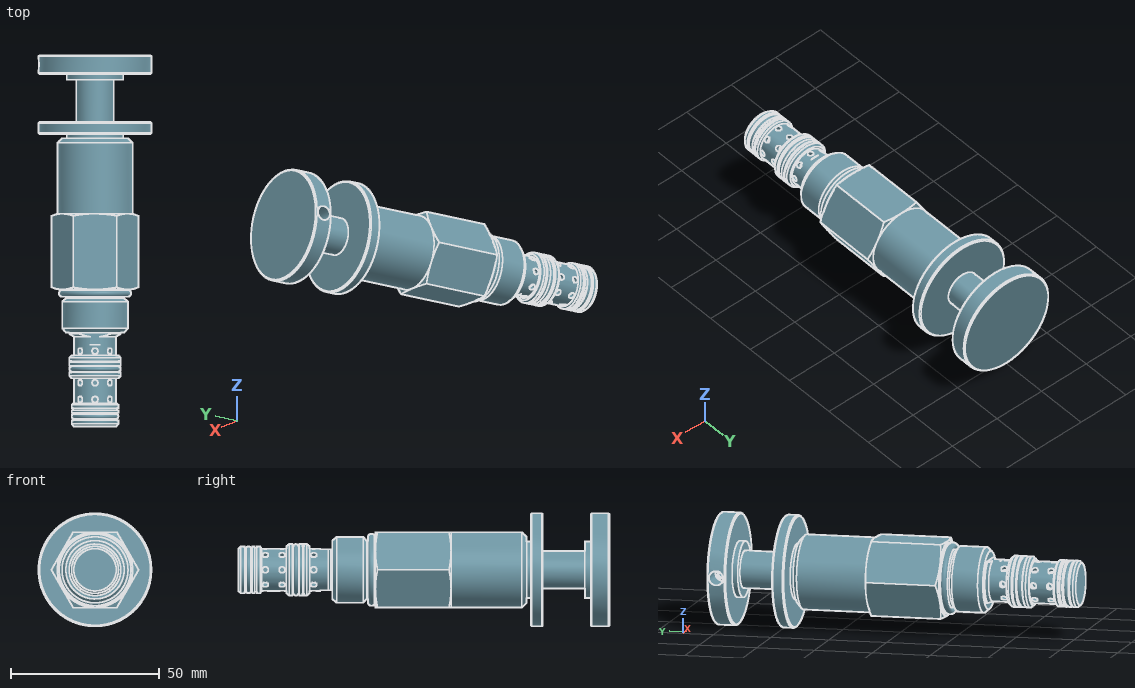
import cadquery as cq
import math


TOTAL_LENGTH = 124.83
NOSE_LENGTH = 46.1
KNOB_BACK = TOTAL_LENGTH - NOSE_LENGTH
NOSE_TIP = -NOSE_LENGTH

DISK_DIAMETER = 38.1
DISK_CHAMFER = 0.4
KNOB_THICKNESS = 6.4
KNOB_FRONT = KNOB_BACK - KNOB_THICKNESS
HUB_DIAMETER = 19.05
HUB_LENGTH = 1.95
ROD_DIAMETER = 12.7
NUT_FRONT = 52.2
NUT_THICKNESS = 4.1

SCREW_HOLE_DIAMETER = 4.83
SCREW_POINT_DIAMETER = 3.17
SCREW_CUP_DIAMETER = 2.2
SCREW_HOLE_DEPTH = 9.0
SCREW_POINT_LENGTH = (SCREW_HOLE_DIAMETER - SCREW_POINT_DIAMETER) / 2

BODY_DIAMETER = 25.4
BODY_BACK = 50.8
BODY_CHAMFER = 1.57
HEX_LENGTH = 25.4
HEX_ACROSS_FLATS = 25.4
HEX_ACROSS_CORNERS = HEX_ACROSS_FLATS / math.cos(math.radians(30))
HEX_BEVEL_LENGTH = 0.7
SEAT_DIAMETER = 24.0
SEAT_END = -0.35

THREAD_DIAMETER = 22.225
THREAD_START = -3.0
THREAD_END = -14.55
THREAD_ROOT_DIAMETER = 19.63
THREAD_LEAD_IN = 1.1
THREAD_LEAD_OUT = 1.5

COLLAR_DIAMETER = 17.37
COLLAR_TAPER_START = -15.0
COLLAR_TAPER_END = -15.9
FLAT_HALF_HEIGHT = 6.95
FLAT_END = -18.6

SLEEVE_DIAMETER = 14.28
UPPER_LAND_EDGES = (16.15, 17.05, 18.2, 20.4, 21.6, 22.0, 23.05, 23.95)
LOWER_LAND_EDGES = (0, 0.9, 2.1, 4.6, 5.5, 6.2, 7.3, 7.85)
UPPER_SEAL_STATION = 19.35
LOWER_SEAL_STATION = 3.4
UPPER_LAND_DIAMETER = 17.37
UPPER_LAND_CHAMFERED_DIAMETER = 15.8
LOWER_LAND_DIAMETER = 15.8
LOWER_LAND_CHAMFERED_DIAMETER = 14.28
UPPER_GROOVE_DIAMETER = 15.8
LOWER_GROOVE_DIAMETER = 14.88
PORT_DIAMETER = 2.02
PORT_COUNT = 8
PORT_FLOOR_DIAMETER = 10.19
PORT_STATIONS = (25.35, 14.7, 9.1)

SHOULDER_SEAL_DIAMETER = 24.3
SHOULDER_SEAL_SECTION = 2.4
SHOULDER_SEAL_Y = -1.35
LAND_SEAL_SECTION = 1.78


def cylinder(diameter, y_start, y_end):
    """Solid cylinder on the Y axis."""
    return cone(diameter, diameter, y_start, y_end)


def cone(start_diameter, end_diameter, y_start, y_end):
    """Solid cylinder or frustum on the Y axis."""
    outline = [
        (0, y_start),
        (start_diameter / 2, y_start),
        (end_diameter / 2, y_end),
        (0, y_end),
    ]
    return cq.Workplane("XY").polyline(outline).close().revolve(360, (0, 0, 0), (0, 1, 0))


def seal_ring(outer_diameter, section, y):
    """Round-section seal ring centred on the Y axis, its seam on the hidden inner side."""
    centre_radius = (outer_diameter - section) / 2
    plane = cq.Plane(origin=(centre_radius, y, 0), xDir=(-1, 0, 0), normal=(0, 0, 1))
    ring = cq.Workplane(plane).circle(section / 2)
    return ring.revolve(360, (centre_radius, 0, 0), (centre_radius, 1, 0))


def disk(y_front, thickness):
    """Rim disk with both edges chamfered."""
    return cylinder(DISK_DIAMETER, y_front, y_front + thickness).edges().chamfer(DISK_CHAMFER)


def make_handle():
    """Knob, its hub, the rod and the lock nut."""
    handle = disk(KNOB_FRONT, KNOB_THICKNESS)
    handle = handle.union(cylinder(HUB_DIAMETER, KNOB_FRONT - HUB_LENGTH, KNOB_FRONT))
    handle = handle.union(cylinder(ROD_DIAMETER, BODY_BACK, KNOB_FRONT))
    handle = handle.union(disk(NUT_FRONT, NUT_THICKNESS))
    return handle.union(cylinder(HUB_DIAMETER, BODY_BACK, NUT_FRONT))


def make_screw_hole():
    """Radial hole on the -X side of the knob, around a chamfered cup point."""
    hole_radius = SCREW_HOLE_DIAMETER / 2
    cup_radius = SCREW_CUP_DIAMETER / 2
    mouth_x = -DISK_DIAMETER / 2
    floor_x = mouth_x + SCREW_HOLE_DEPTH
    point_x = floor_x - SCREW_POINT_LENGTH
    outline = [
        (mouth_x, 0),
        (mouth_x, hole_radius),
        (floor_x, hole_radius),
        (point_x, SCREW_POINT_DIAMETER / 2),
        (point_x, cup_radius),
        (point_x + cup_radius, 0),
    ]
    hole = cq.Workplane("XY").polyline(outline).close().revolve(360, (0, 0, 0), (1, 0, 0))
    return hole.translate((0, KNOB_FRONT + KNOB_THICKNESS / 2, 0))


def make_body():
    """Barrel with a chamfered back edge."""
    body = cylinder(BODY_DIAMETER, HEX_LENGTH, BODY_BACK)
    return body.faces(">Y").edges().chamfer(BODY_CHAMFER)


def make_hex():
    """Hex with its flats on +Z and -Z and its corners bevelled at both ends."""
    prism = cq.Workplane("XZ").polygon(6, HEX_ACROSS_CORNERS).extrude(-HEX_LENGTH)
    bevel_start = HEX_LENGTH - HEX_BEVEL_LENGTH
    envelope = cone(HEX_ACROSS_FLATS, HEX_ACROSS_CORNERS, 0, HEX_BEVEL_LENGTH)
    envelope = envelope.union(cylinder(HEX_ACROSS_CORNERS, HEX_BEVEL_LENGTH, bevel_start))
    envelope = envelope.union(cone(HEX_ACROSS_CORNERS, HEX_ACROSS_FLATS, bevel_start, HEX_LENGTH))
    return prism.intersect(envelope)


def make_thread():
    """Seat, undercut, seal ring and plain threaded section below the hex shoulder."""
    lead_in_end = THREAD_START - THREAD_LEAD_IN
    lead_out_start = THREAD_END + THREAD_LEAD_OUT
    thread = cylinder(THREAD_ROOT_DIAMETER, THREAD_START, 0)
    thread = thread.union(cylinder(SEAT_DIAMETER, SEAT_END, 0))
    thread = thread.union(cone(THREAD_DIAMETER, THREAD_ROOT_DIAMETER, lead_in_end, THREAD_START))
    thread = thread.union(cylinder(THREAD_DIAMETER, lead_out_start, lead_in_end))
    thread = thread.union(cone(THREAD_ROOT_DIAMETER, THREAD_DIAMETER, THREAD_END, lead_out_start))
    return thread.union(seal_ring(SHOULDER_SEAL_DIAMETER, SHOULDER_SEAL_SECTION, SHOULDER_SEAL_Y))


def make_sleeve():
    """Sleeve and tapered collar, with a flat milled on +Z and on -Z."""
    sleeve = cylinder(SLEEVE_DIAMETER, NOSE_TIP + LOWER_LAND_EDGES[-2], THREAD_END)
    sleeve = sleeve.union(cylinder(COLLAR_DIAMETER, COLLAR_TAPER_START, THREAD_END))
    sleeve = sleeve.union(cone(SLEEVE_DIAMETER, COLLAR_DIAMETER, COLLAR_TAPER_END, COLLAR_TAPER_START))
    flat_length = THREAD_END - FLAT_END
    cutter = cq.Workplane("XY").box(COLLAR_DIAMETER, flat_length, COLLAR_DIAMETER)
    for side in (1, -1):
        height = side * (FLAT_HALF_HEIGHT + COLLAR_DIAMETER / 2)
        sleeve = sleeve.cut(cutter.translate((0, FLAT_END + flat_length / 2, height)))
    return sleeve


def make_land(edges, seal_station, diameter, chamfered_diameter, groove_diameter):
    """Sealing land with chamfered ends and a groove holding a backup ring and a seal ring.

    The edges are distances from the nose tip, in order: front edge, end of the front
    chamfer, groove front, backup ring front, backup ring back, groove back, start of the
    back chamfer, back edge.
    """
    y = [NOSE_TIP + edge for edge in edges]
    front, chamfer_end, groove_front, ring_front, ring_back, groove_back, chamfer_start, back = y
    land = cone(chamfered_diameter, diameter, front, chamfer_end)
    land = land.union(cylinder(diameter, chamfer_end, groove_front))
    land = land.union(cylinder(groove_diameter, groove_front, groove_back))
    land = land.union(cylinder(diameter, ring_front, ring_back))
    land = land.union(cylinder(diameter, groove_back, chamfer_start))
    land = land.union(cone(diameter, chamfered_diameter, chamfer_start, back))
    return land.union(seal_ring(diameter, LAND_SEAL_SECTION, NOSE_TIP + seal_station))


def make_upper_land():
    """Larger land in the middle of the sleeve."""
    return make_land(
        UPPER_LAND_EDGES, UPPER_SEAL_STATION, UPPER_LAND_DIAMETER,
        UPPER_LAND_CHAMFERED_DIAMETER, UPPER_GROOVE_DIAMETER,
    )


def make_lower_land():
    """Smaller land that forms the nose."""
    return make_land(
        LOWER_LAND_EDGES, LOWER_SEAL_STATION, LOWER_LAND_DIAMETER,
        LOWER_LAND_CHAMFERED_DIAMETER, LOWER_GROOVE_DIAMETER,
    )


def cut_ports(part):
    """Three rows of evenly spaced radial blind holes in the sleeve."""
    port = cq.Workplane("XY").workplane(offset=PORT_FLOOR_DIAMETER / 2)
    port = port.circle(PORT_DIAMETER / 2).extrude((SLEEVE_DIAMETER - PORT_FLOOR_DIAMETER) / 2)
    for station in PORT_STATIONS:
        for index in range(PORT_COUNT):
            turned = port.rotate((0, 0, 0), (0, 1, 0), index * 360 / PORT_COUNT)
            part = part.cut(turned.translate((0, NOSE_TIP + station, 0)))
    return part


result = cut_ports(make_sleeve())
for section in (
    make_lower_land(),
    make_upper_land(),
    make_thread(),
    make_hex(),
    make_body(),
    make_handle(),
):
    result = result.union(section)
result = result.cut(make_screw_hole())